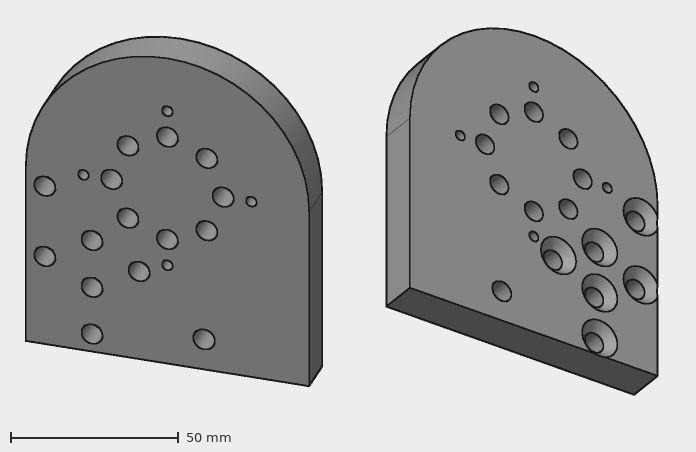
import cadquery as cq
import math

WIDTH = 88.9
THICKNESS = 12.7
CENTER_HEIGHT = 60.0
TOP_RADIUS = WIDTH / 2

BOLT_DIAMETER = 6.6
BOLT_CIRCLE_RADIUS = 17.5
BOLT_COUNT = 8
PIN_DIAMETER = 3.3
PIN_CIRCLE_RADIUS = 26.35
PIN_COUNT = 4

COLUMN_PITCH = 14.8
ROW_PITCH = 8.0
EDGE_DISTANCE = 6.0
FIRST_COLUMN_X = EDGE_DISTANCE - WIDTH / 2
FIRST_ROW_Z = 6.0
MOUNTING_GRID = [(0, 3), (0, 6), (1, 0), (1, 2), (1, 4), (2, 3)]

COUNTERSINK_DIAMETER = 12.6
COUNTERSINK_DEPTH = (COUNTERSINK_DIAMETER - BOLT_DIAMETER) / 2

LOWER_HOLE_DIAMETER = 6.8
LOWER_HOLE_X = 11.5
LOWER_HOLE_Z = 10.3

BACK_Y = THICKNESS / 2


def make_plate():
    """Arch-shaped plate, centred on X and Y, standing on Z = 0."""
    return (
        cq.Workplane("XZ", origin=(0, BACK_Y, 0))
        .moveTo(-TOP_RADIUS, 0)
        .lineTo(TOP_RADIUS, 0)
        .lineTo(TOP_RADIUS, CENTER_HEIGHT)
        .threePointArc((0, CENTER_HEIGHT + TOP_RADIUS), (-TOP_RADIUS, CENTER_HEIGHT))
        .close()
        .extrude(THICKNESS)
    )


def circle_points(radius, count):
    """Evenly spaced (x, z) points around the centre of the round top."""
    angles = [2 * math.pi * i / count for i in range(count)]
    return [(radius * math.cos(a), CENTER_HEIGHT + radius * math.sin(a)) for a in angles]


def mounting_points():
    """(x, z) points of the staggered mounting holes."""
    return [
        (FIRST_COLUMN_X + column * COLUMN_PITCH, FIRST_ROW_Z + row * ROW_PITCH)
        for column, row in MOUNTING_GRID
    ]


def through_holes(points, diameter):
    """Cylinders that run through the full thickness at the given points."""
    return (
        cq.Workplane("XZ", origin=(0, BACK_Y, 0))
        .pushPoints(points)
        .circle(diameter / 2)
        .extrude(THICKNESS)
    )


def countersink(x, z):
    """Cone that opens on the +Y face and narrows to the bolt diameter."""
    return cq.Workplane(
        cq.Solid.makeCone(
            COUNTERSINK_DIAMETER / 2,
            BOLT_DIAMETER / 2,
            COUNTERSINK_DEPTH,
            pnt=cq.Vector(x, BACK_Y, z),
            dir=cq.Vector(0, -1, 0),
        )
    )


result = make_plate()
result = result.cut(through_holes(circle_points(BOLT_CIRCLE_RADIUS, BOLT_COUNT), BOLT_DIAMETER))
result = result.cut(through_holes(circle_points(PIN_CIRCLE_RADIUS, PIN_COUNT), PIN_DIAMETER))
result = result.cut(through_holes([(LOWER_HOLE_X, LOWER_HOLE_Z)], LOWER_HOLE_DIAMETER))
result = result.cut(through_holes(mounting_points(), BOLT_DIAMETER))
for hole_x, hole_z in mounting_points():
    result = result.cut(countersink(hole_x, hole_z))